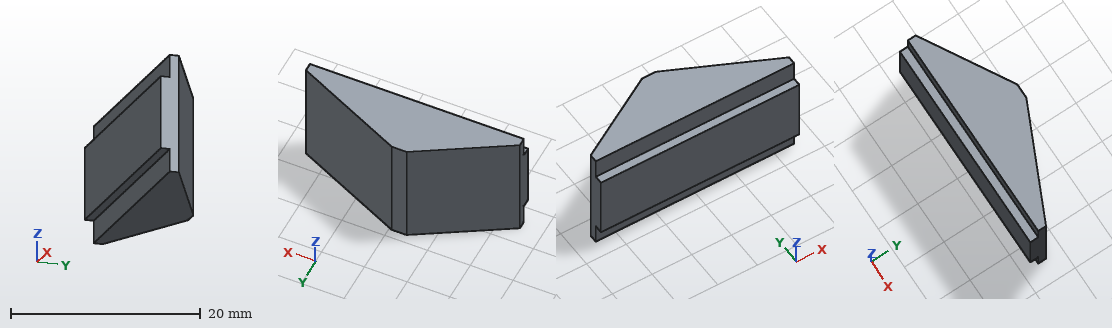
import cadquery as cq
import math

length = 25.0
depth = 8.0
height = 13.0

tongue_depth = 1.0
tongue_height = 8.0

end_thickness = 1.0
left_slope_angle = 30.0
right_slope_angle = 25.0

slope_start_y = tongue_depth + end_thickness
slope_rise = depth - slope_start_y
left_run = slope_rise / math.tan(math.radians(left_slope_angle))
right_run = slope_rise / math.tan(math.radians(right_slope_angle))


def make_body():
    """Full-height wedge with a narrow flat at the back."""
    outline = [
        (0, tongue_depth),
        (length, tongue_depth),
        (length, slope_start_y),
        (length - right_run, depth),
        (left_run, depth),
        (0, slope_start_y),
    ]
    return cq.Workplane("XY").polyline(outline).close().extrude(height)


def make_tongue():
    """Full-length tongue, centred on the height of the body."""
    tongue_bottom = (height - tongue_height) / 2
    return (
        cq.Workplane("XY")
        .box(length, tongue_depth, tongue_height, centered=False)
        .translate((0, 0, tongue_bottom))
    )


result = make_body().union(make_tongue())